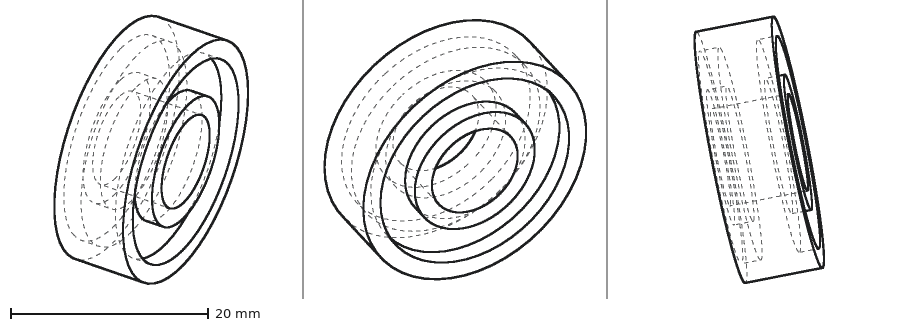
import cadquery as cq

outer_diameter = 26.0
recess_outer_diameter = 22.0
hub_diameter = 14.0
bore_diameter = 10.0
width = 8.0
recess_depth = 2.0


def ring(outer, inner, start, length):
    """Ring about the X axis, running from x = start towards +X."""
    return (
        cq.Workplane("YZ", origin=(start, 0, 0))
        .circle(outer / 2)
        .circle(inner / 2)
        .extrude(length)
    )


body = ring(outer_diameter, bore_diameter, -width / 2, width)

result = body
for recess_start in (-width / 2, width / 2 - recess_depth):
    recess = ring(recess_outer_diameter, hub_diameter, recess_start, recess_depth)
    result = result.cut(recess)